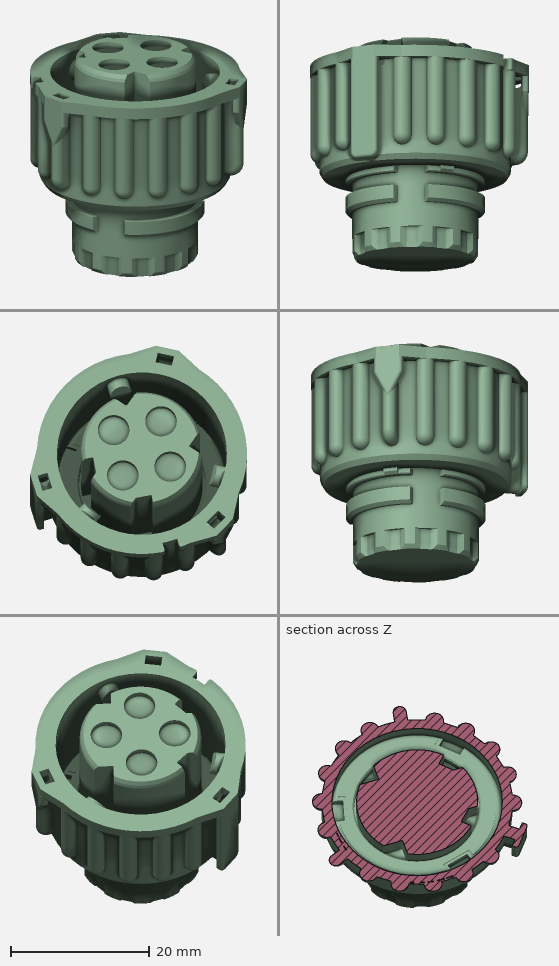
import cadquery as cq
import math

TOP_Z = 31.0
FLANGE_TOP = 28.45
FLANGE_BOTTOM = 26.75
NUT_BOTTOM = 12.0
NUT_CHAMFER_HEIGHT = 0.8
NUT_CHAMFER_WIDTH = 0.47

FLANGE_RADIUS = 15.18
NUT_RADIUS = 13.82
BORE_RADIUS = 12.27
BORE_FLOOR = 12.97

RIB_COUNT = 18
RIB_PITCH = 360 / RIB_COUNT
RIB_RADIUS = 1.33
RIB_BOTTOM = 14.0

FIRST_EAR_ANGLE = 6.0
EAR_ANGLES = [FIRST_EAR_ANGLE + 120 * i for i in range(3)]
LONG_EAR_ANGLE = EAR_ANGLES[1]
EAR_REACH = 16.35
EAR_WIDTH = 3.42
EAR_FLANK_ANGLE = 20.0
PLATE_FACE_WIDTH = 3.35
PLATE_THICKNESS = 0.95
PLATE_ROUNDING = 0.45
PLATE_SHOULDER = 24.65
PLATE_TIP = 21.48
EAR_RIB_WIDTH = 1.95
EAR_RIB_REACH = 16.3

WIRE_HOLE_LENGTH = 2.4
WIRE_HOLE_WIDTH = 1.45
WIRE_HOLE_CENTER = 14.65
WIRE_HOLE_AXIS_Z = 25.95
WIRE_RECESS_INNER = 13.45
WIRE_RECESS_LENGTH = 4.3

RIM_NOTCH_ANGLE = 216.0
RIM_NOTCH_WIDTH = 2.2
RIM_NOTCH_ROUNDING = 0.32

PIN_ANGLES = [36 + 120 * i for i in range(3)]
PIN_RADIUS = 1.58
PIN_Z = 25.45
PIN_TIP = 10.35
PIN_TOP_TIP = 10.98

DISC_TOP = 14.23
DISC_EDGE_RADIUS = 0.7
DISC_STEP = 0.15
DISC_STEP_RADIUS = 11.48
DISC_SLOT_ANGLES = [90 + 120 * i for i in range(3)]
DISC_SLOT_WIDTH = 3.45
DISC_SLOT_INNER = 10.55
DISC_SLOT_MARGIN = 0.35
DISC_SLOT_SIDE_MARGIN = 0.57
GROOVE_RADIUS = 9.08
GROOVE_CHAMFER = 0.22

INSERT_RADIUS = 8.8
INSERT_SHOULDER_RADIUS = 8.65
INSERT_FACE_RADIUS = 8.25
INSERT_EDGE_Z = 30.0
INSERT_SHOULDER_Z = 30.43
INSERT_TURN = -15.0
SQUARE_KEY_X = 4.08
SQUARE_KEY_Y = 5.45
SLANTED_KEY_X = -5.05
SLANTED_KEY_Y = 5.1
SLANTED_KEY_RUN = 1.65
CONTACT_COUNT = 4
CONTACT_RADIUS = 2.28
CONTACT_CIRCLE = 4.95
CONTACT_DEPTH = 0.98

PLUG_RADIUS = 9.1
CASTLE_TOP = 3.0
CASTLE_CHAMFER_HEIGHT = 0.65
CASTLE_CHAMFER_WIDTH = 0.4
COLLAR_RADIUS = 10.1
COLLAR_BOTTOM = 6.55
COLLAR_TOP = 8.98
COLLAR_CHAMFER = 0.47
RING_BOTTOM = 10.9
RING_TOP = 11.8
RING_CHAMFER = 0.15
RING_TOP_CHAMFER = 0.22
GAP_ANGLES = [30 + 120 * i for i in range(3)]
GAP_DEPTH_RADIUS = 8.82
GAP_INNER_WIDTH = 3.75
GAP_OUTER_WIDTH = 5.45
NUB_REACH = 10.53
NUB_WIDTH = 2.05
NUB_CHAMFER = 0.4
CASTLE_NOTCH_COUNT = 12
CASTLE_NOTCH_FLOOR = 8.48
CASTLE_NOTCH_FLOOR_WIDTH = 1.42
CASTLE_NOTCH_MOUTH_WIDTH = 3.85


def disc(radius, bottom, top):
    return cq.Workplane("XY").workplane(offset=bottom).circle(radius).extrude(top - bottom)


def block(inner, outer, width, bottom, top):
    """Box reaching from inner to outer along +X, centred on the X axis."""
    return (
        cq.Workplane("XY")
        .box(outer - inner, width, top - bottom, centered=(False, True, False))
        .translate((inner, 0, bottom))
    )


def prism(points, bottom, top):
    return cq.Workplane("XY").workplane(offset=bottom).polyline(points).close().extrude(top - bottom)


def turned(shape, angle):
    return shape.rotate((0, 0, 0), (0, 0, 1), angle)


def trapezoid(inner, outer, inner_width, outer_width):
    """Outline along +X whose width changes from its inner to its outer end."""
    return [
        (inner, -inner_width / 2),
        (outer, -outer_width / 2),
        (outer, outer_width / 2),
        (inner, inner_width / 2),
    ]


def round_rib():
    """Half-sunk cylinder with a ball end."""
    ball_z = RIB_BOTTOM + RIB_RADIUS
    column = cq.Workplane("XY").workplane(offset=ball_z).circle(RIB_RADIUS).extrude(FLANGE_BOTTOM - ball_z)
    ball = cq.Workplane("XY").sphere(RIB_RADIUS).translate((0, 0, ball_z))
    return column.union(ball).translate((NUT_RADIUS, 0, 0))


def ear_rib():
    """Round-nosed rib under an ear, turning inwards through a quarter bend at its foot."""
    half = EAR_RIB_WIDTH / 2
    bend_x = EAR_RIB_REACH - EAR_RIB_WIDTH
    bend_z = RIB_BOTTOM + EAR_RIB_WIDTH

    def nose(plane):
        return (
            cq.Workplane(plane)
            .moveTo(0, -half)
            .lineTo(half, -half)
            .threePointArc((EAR_RIB_WIDTH, 0), (half, half))
            .lineTo(0, half)
            .close()
        )

    bend_center = (bend_x, 0, bend_z)
    upward = cq.Plane(origin=bend_center, xDir=(1, 0, 0), normal=(0, 0, 1))
    inward = cq.Plane(origin=bend_center, xDir=(0, 0, -1), normal=(-1, 0, 0))
    upright = nose(upward).extrude(FLANGE_BOTTOM - bend_z)
    bend = nose(upward).revolve(90, (0, 0, 0), (0, 1, 0))
    foot = nose(inward).extrude(RIB_RADIUS)
    web = block(bend_x - RIB_RADIUS, bend_x, EAR_RIB_WIDTH, bend_z, FLANGE_BOTTOM)
    return upright.union(bend).union(foot).union(web)


def rounded_plate(face_outline, foot_radius=0):
    """Plate under an ear, with rounded edges around its flat face and optionally rounded bottom corners."""
    plate = (
        cq.Workplane("YZ")
        .workplane(offset=EAR_REACH - PLATE_THICKNESS)
        .polyline(face_outline)
        .close()
        .offset2D(PLATE_ROUNDING, "intersection")
        .extrude(PLATE_THICKNESS)
    )
    if foot_radius:
        plate = plate.faces("<Z").edges("|X").fillet(foot_radius)
    plate = plate.faces(">X").edges().fillet(PLATE_ROUNDING)
    return plate.intersect(disc(2 * EAR_REACH, 0, FLANGE_BOTTOM))


def arrow_plate():
    half = PLATE_FACE_WIDTH / 2
    outline = [
        (-half, FLANGE_TOP),
        (-half, PLATE_SHOULDER),
        (0, PLATE_TIP),
        (half, PLATE_SHOULDER),
        (half, FLANGE_TOP),
    ]
    return rounded_plate(outline)


def long_plate():
    """Plate reaching the bottom of the nut, joined to it by a web with a round underside."""
    half = PLATE_FACE_WIDTH / 2
    bottom = NUT_BOTTOM + PLATE_ROUNDING
    outline = [(-half, FLANGE_TOP), (-half, bottom), (half, bottom), (half, FLANGE_TOP)]
    web_radius = EAR_RIB_WIDTH / 2
    web_end = EAR_REACH - PLATE_THICKNESS
    web_foot_z = NUT_BOTTOM + web_radius
    web = block(BORE_RADIUS, web_end, EAR_RIB_WIDTH, web_foot_z, FLANGE_BOTTOM)
    web_foot = (
        cq.Workplane("YZ")
        .workplane(offset=BORE_RADIUS)
        .center(0, web_foot_z)
        .circle(web_radius)
        .extrude(web_end - BORE_RADIUS)
    )
    return rounded_plate(outline, web_radius).union(web).union(web_foot)


def flange():
    """Rim with three flat-faced ears and one rounded notch down to the nut wall."""
    rim = disc(FLANGE_RADIUS, FLANGE_BOTTOM, FLANGE_TOP)
    flank = math.radians(EAR_FLANK_ANGLE)
    base_x = FLANGE_RADIUS * math.cos(flank)
    base_width = 2 * FLANGE_RADIUS * math.sin(flank)
    ear = prism(trapezoid(base_x, EAR_REACH, base_width, EAR_WIDTH), FLANGE_BOTTOM, FLANGE_TOP)
    for angle in EAR_ANGLES:
        rim = rim.union(turned(ear, angle - RIM_NOTCH_ANGLE))
    notch = block(BORE_RADIUS, EAR_REACH, RIM_NOTCH_WIDTH, FLANGE_BOTTOM, FLANGE_TOP)
    mouth = cq.selectors.BoxSelector(
        (NUT_RADIUS, -RIM_NOTCH_WIDTH, FLANGE_BOTTOM), (EAR_REACH, RIM_NOTCH_WIDTH, FLANGE_TOP)
    )
    rim = rim.cut(notch).edges("|Z").edges(mouth).fillet(RIM_NOTCH_ROUNDING)
    return turned(rim, RIM_NOTCH_ANGLE)


def wire_passage():
    """Slot through the flange, opening into a round tunnel across the rib below."""
    half = WIRE_HOLE_WIDTH / 2
    slot = block(
        WIRE_HOLE_CENTER - half, WIRE_HOLE_CENTER + half, WIRE_HOLE_LENGTH, WIRE_HOLE_AXIS_Z, FLANGE_TOP
    )
    tunnel = (
        cq.Workplane("XZ")
        .center(WIRE_HOLE_CENTER, WIRE_HOLE_AXIS_Z)
        .circle(half)
        .extrude(EAR_WIDTH / 2, both=True)
    )
    recess = block(
        WIRE_RECESS_INNER, WIRE_HOLE_CENTER, WIRE_RECESS_LENGTH, WIRE_HOLE_AXIS_Z, FLANGE_BOTTOM
    )
    return slot.union(tunnel).union(recess)


def bayonet_pin():
    """Radial pin whose tip is bevelled so that it faces upwards."""
    pin = (
        cq.Workplane("YZ")
        .workplane(offset=PIN_TIP)
        .center(0, PIN_Z)
        .circle(PIN_RADIUS)
        .extrude((BORE_RADIUS + NUT_RADIUS) / 2 - PIN_TIP)
    )
    bevel = (
        cq.Workplane("XZ")
        .moveTo(PIN_TIP, PIN_Z)
        .lineTo(PIN_TOP_TIP, PIN_Z + PIN_RADIUS)
        .lineTo(PIN_TIP, PIN_Z + PIN_RADIUS)
        .close()
        .extrude(PIN_RADIUS, both=True)
    )
    return pin.cut(bevel)


def coupling_nut():
    nut = disc(NUT_RADIUS, NUT_BOTTOM, FLANGE_TOP)
    nut = nut.faces("<Z").chamfer(NUT_CHAMFER_HEIGHT, NUT_CHAMFER_WIDTH)
    nut = nut.union(flange())
    for angle in EAR_ANGLES:
        if angle == LONG_EAR_ANGLE:
            support = long_plate()
        else:
            support = arrow_plate().union(ear_rib())
        nut = nut.union(turned(support, angle)).cut(turned(wire_passage(), angle))
    for i in range(RIB_COUNT):
        angle = FIRST_EAR_ANGLE + i * RIB_PITCH
        if angle not in EAR_ANGLES:
            nut = nut.union(turned(round_rib(), angle))
    nut = nut.cut(disc(BORE_RADIUS, BORE_FLOOR, FLANGE_TOP))
    for angle in PIN_ANGLES:
        nut = nut.union(turned(bayonet_pin(), angle))
    return nut


def floor_disc():
    """Round-edged disc on the bore floor with three slots and a step along its rim."""
    raised = disc(BORE_RADIUS, BORE_FLOOR, DISC_TOP - DISC_STEP)
    raised = raised.faces(">Z").edges().fillet(DISC_EDGE_RADIUS)
    step = disc(DISC_STEP_RADIUS, DISC_TOP - DISC_STEP, DISC_TOP)
    for angle in DISC_SLOT_ANGLES:
        slot = block(DISC_SLOT_INNER, BORE_RADIUS, DISC_SLOT_WIDTH, BORE_FLOOR, DISC_TOP)
        raised = raised.cut(turned(slot, angle))
        step_slot = block(
            DISC_SLOT_INNER - DISC_SLOT_MARGIN,
            BORE_RADIUS,
            DISC_SLOT_WIDTH + 2 * DISC_SLOT_SIDE_MARGIN,
            BORE_FLOOR,
            DISC_TOP,
        )
        step = step.cut(turned(step_slot, angle))
    raised = raised.union(step)
    groove = disc(GROOVE_RADIUS, BORE_FLOOR, DISC_TOP)
    inner_rim = cq.selectors.RadiusNthSelector(0)
    return raised.cut(groove).edges("%CIRCLE").edges(">Z").edges(inner_rim).chamfer(GROOVE_CHAMFER)


def contact_insert():
    insert = (
        cq.Workplane("XZ")
        .moveTo(0, NUT_BOTTOM)
        .lineTo(INSERT_RADIUS, NUT_BOTTOM)
        .lineTo(INSERT_RADIUS, INSERT_EDGE_Z)
        .lineTo(INSERT_SHOULDER_RADIUS, INSERT_SHOULDER_Z)
        .lineTo(INSERT_FACE_RADIUS, TOP_Z)
        .lineTo(0, TOP_Z)
        .close()
        .revolve(360, (0, 0, 0), (0, 1, 0))
    )
    outside = PLUG_RADIUS
    square_key = [
        (SQUARE_KEY_X, SQUARE_KEY_Y),
        (outside, SQUARE_KEY_Y),
        (outside, outside),
        (SQUARE_KEY_X, outside),
    ]
    wall_end_x = SLANTED_KEY_X - SLANTED_KEY_RUN
    wall_end_y = SLANTED_KEY_Y - SLANTED_KEY_RUN
    slanted_key = [
        (SLANTED_KEY_X, SLANTED_KEY_Y),
        (wall_end_x, wall_end_y),
        (-outside, wall_end_y),
        (-outside, outside),
        (SLANTED_KEY_X - (outside - SLANTED_KEY_Y), outside),
    ]
    for key in (square_key, slanted_key):
        for side in (1, -1):
            points = [(x, side * y) for x, y in key]
            insert = insert.cut(prism(points, BORE_FLOOR, TOP_Z))
    contacts = (
        cq.Workplane("XY")
        .workplane(offset=TOP_Z - CONTACT_DEPTH)
        .polarArray(CONTACT_CIRCLE, 0, 360, CONTACT_COUNT)
        .circle(CONTACT_RADIUS)
        .extrude(CONTACT_DEPTH)
    )
    return turned(insert.cut(contacts), INSERT_TURN)


def plug():
    collar = disc(COLLAR_RADIUS, COLLAR_BOTTOM, COLLAR_TOP).faces("<Z").chamfer(COLLAR_CHAMFER)
    ring = disc(COLLAR_RADIUS, RING_BOTTOM, RING_TOP).faces("<Z").chamfer(RING_CHAMFER)
    ring = ring.faces(">Z").chamfer(RING_TOP_CHAMFER)
    nub = block(-NUB_REACH, NUB_REACH, NUB_WIDTH, RING_BOTTOM, RING_TOP)
    nub = nub.faces("<Z").edges("|Y").chamfer(NUB_CHAMFER)
    rings = collar.union(ring).union(nub)
    gap = prism(
        trapezoid(GAP_DEPTH_RADIUS, COLLAR_RADIUS, GAP_INNER_WIDTH, GAP_OUTER_WIDTH), COLLAR_BOTTOM, RING_TOP
    )
    for angle in GAP_ANGLES:
        rings = rings.cut(turned(gap, angle))

    body = disc(PLUG_RADIUS, 0, NUT_BOTTOM)
    body = body.faces("<Z").chamfer(CASTLE_CHAMFER_HEIGHT, CASTLE_CHAMFER_WIDTH)
    notch_outline = trapezoid(
        CASTLE_NOTCH_FLOOR, PLUG_RADIUS, CASTLE_NOTCH_FLOOR_WIDTH, CASTLE_NOTCH_MOUTH_WIDTH
    )
    notch = prism(notch_outline, 0, CASTLE_TOP)
    for i in range(CASTLE_NOTCH_COUNT):
        body = body.cut(turned(notch, i * 360 / CASTLE_NOTCH_COUNT))
    return body.union(rings)


result = coupling_nut().union(floor_disc()).union(contact_insert()).union(plug())